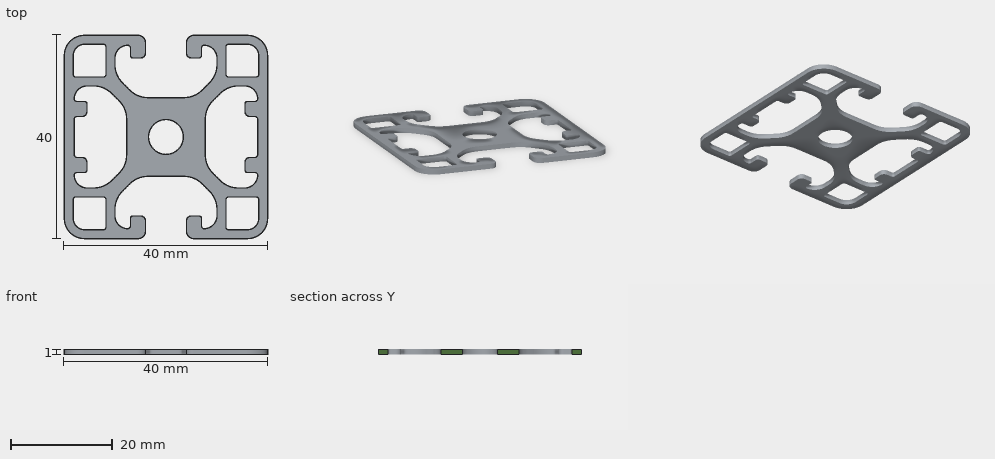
import cadquery as cq
import math

side = 40.0
thickness = 1.0
corner_radius = 4.0
bore_diameter = 6.8
half_side = side / 2

mouth_half = 4.0
lip_depth = 4.5
lip_outer_half = 7.0
chamber_half = 10.0
chamber_floor_depth = 12.25
chamber_roof_depth = 2.0

web_width = 3.0
chamfer_leg = chamber_half + web_width / math.sqrt(2) - (half_side - chamber_floor_depth)

mouth_radius = 1.5
lip_tip_radius = 1.0
lip_root_radius = 0.5
lip_heel_radius = 0.5
chamber_floor_radius = 5.0
closed_mouth_radius = 0.5
chamber_roof_radius = chamber_half - lip_outer_half - lip_root_radius

pocket_wall = 1.8
pocket_outer_radius = corner_radius - pocket_wall
pocket_inner_radius = 0.5

shortest_line = 1e-4


def rounded_face_solid(corners):
    """Extrude a closed polygon of (x, y, radius) corners, each rounded by a tangent arc."""
    arcs = []
    count = len(corners)
    for i in range(count):
        x, y, radius = corners[i]
        point = cq.Vector(x, y)
        to_previous = (cq.Vector(*corners[i - 1][:2]) - point).normalized()
        to_next = (cq.Vector(*corners[(i + 1) % count][:2]) - point).normalized()
        half_angle = to_previous.getAngle(to_next) / 2
        tangent_length = radius / math.tan(half_angle)
        apex_distance = radius / math.sin(half_angle) - radius
        start = point + to_previous * tangent_length
        middle = point + (to_previous + to_next).normalized() * apex_distance
        end = point + to_next * tangent_length
        arcs.append((start, middle, end))

    first_start = arcs[0][0]
    outline = cq.Workplane("XY").moveTo(first_start.x, first_start.y)
    pen = first_start
    for start, middle, end in arcs:
        if (start - pen).Length > shortest_line:
            outline = outline.lineTo(start.x, start.y)
        outline = outline.threePointArc((middle.x, middle.y), (end.x, end.y))
        pen = end
    return outline.close().extrude(thickness)


def mirrored_across_y(corners):
    """Append the mirror image (x -> -x) of a half outline, in reverse order."""
    return corners + [(-x, y, radius) for x, y, radius in reversed(corners)]


def chamber_corners():
    """Half outline of a slot opening toward +Y, from the lip tip to the chamber floor."""
    lip_y = half_side - lip_depth
    roof_y = half_side - chamber_roof_depth
    floor_y = half_side - chamber_floor_depth
    return [
        (mouth_half, lip_y, lip_tip_radius),
        (lip_outer_half, lip_y, lip_heel_radius),
        (lip_outer_half, roof_y, lip_root_radius),
        (chamber_half, roof_y, chamber_roof_radius),
        (chamber_half, floor_y + chamfer_leg, chamber_floor_radius),
        (chamber_half - chamfer_leg, floor_y, chamber_floor_radius),
    ]


def make_body():
    """Square plate with rounded corners and open slots in its +Y and -Y sides."""
    upper_right = [
        (half_side, half_side, corner_radius),
        (mouth_half, half_side, mouth_radius),
    ] + chamber_corners()
    upper = mirrored_across_y(upper_right)
    lower = [(-x, -y, radius) for x, y, radius in upper]
    return rounded_face_solid(upper + lower)


def make_closed_slot():
    """Slot cutter toward +Y whose mouth ends at a thin outer wall."""
    mouth_end = (mouth_half, half_side - chamber_roof_depth, closed_mouth_radius)
    return rounded_face_solid(mirrored_across_y([mouth_end] + chamber_corners()))


def make_corner_pocket():
    """Pocket cutter for the +X +Y corner, with a larger radius at the outer corner."""
    outer = half_side - pocket_wall
    inner = chamber_half + pocket_wall
    return rounded_face_solid([
        (outer, outer, pocket_outer_radius),
        (inner, outer, pocket_inner_radius),
        (inner, inner, pocket_inner_radius),
        (outer, inner, pocket_inner_radius),
    ])


def rotated(shape, angle):
    """Turn a shape about the Z axis."""
    return shape.rotate((0, 0, 0), (0, 0, 1), angle)


result = make_body()
for slot_angle in (90, 270):
    result = result.cut(rotated(make_closed_slot(), slot_angle))
for pocket_angle in (0, 90, 180, 270):
    result = result.cut(rotated(make_corner_pocket(), pocket_angle))
result = result.cut(cq.Workplane("XY").circle(bore_diameter / 2).extrude(thickness))